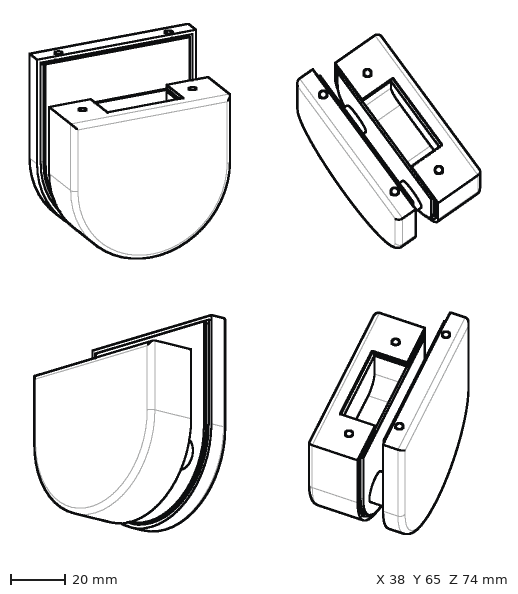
import cadquery as cq


WIDTH = 65.0
PLATE_HEIGHT = 74.0
BOX_HEIGHT = 59.0

PLATE_DEPTH = 8.0
PAD_THICKNESS = 1.0
GLASS_GAP = 8.0
BOX_DEPTH = 20.0
PLATE_MOUTH = PLATE_DEPTH
BOX_MOUTH = PLATE_MOUTH + PAD_THICKNESS + GLASS_GAP + PAD_THICKNESS
TOTAL_DEPTH = BOX_MOUTH + BOX_DEPTH

COVER_WALL = 1.5
PLATE_INNER_FACE = COVER_WALL
BOX_INNER_FACE = TOTAL_DEPTH - COVER_WALL
EDGE_RADIUS = 2.0

CORE_INSET = 2.6
PAD_SIDE_INSET = 3.0
PAD_END_INSET = 2.0
BOSS_RADIUS = 6.0
BOSS_SPACING = 35.0
BOSS_Z = 24.0

POCKET_WIDTH = 31.0
POCKET_DEPTH_X = 13.0
POCKET_BOTTOM_DROP = 20.0
POCKET_CORNER_RADIUS = 6.0
OPENING_DEPTH_X = 14.0

SCREW_DIAMETER = 2.6
SCREW_HOLE_DIAMETER = 3.0
SCREW_SPACING = 45.0
PLATE_SCREW_X = 5.55
BOX_SCREW_X = 25.5
SCREW_YS = (-SCREW_SPACING / 2, SCREW_SPACING / 2)


def d_prism(x_start, x_end, height, side_inset, end_inset):
    """Prism along X with a square top and a semicircular foot, inset from the overall outline."""
    half_width = WIDTH / 2 - side_inset
    foot = end_inset
    arc_z = foot + half_width
    top = height - end_inset
    return (
        cq.Workplane("YZ", origin=(x_start, 0, 0))
        .moveTo(-half_width, top)
        .lineTo(-half_width, arc_z)
        .threePointArc((0, foot), (half_width, arc_z))
        .lineTo(half_width, top)
        .close()
        .extrude(x_end - x_start)
    )


def screw_cylinder(x, y, height, diameter):
    """Upright cylinder from the top of the core up to the top of the cover."""
    return cq.Workplane("XY", origin=(x, y, height - CORE_INSET)).circle(diameter / 2).extrude(CORE_INSET)


def cover(x_start, x_end, cavity_start, cavity_end, outer_face, height, screw_x):
    """Hollow cover, open on the glass side, rounded on its outer face, with two screw holes."""
    body = d_prism(x_start, x_end, height, 0, 0).faces(outer_face).edges().fillet(EDGE_RADIUS)
    body = body.cut(d_prism(cavity_start, cavity_end, height, COVER_WALL, COVER_WALL))
    for y in SCREW_YS:
        body = body.cut(screw_cylinder(screw_x, y, height, SCREW_HOLE_DIAMETER))
    return body


def set_screw(x, y, height):
    """Screw flush with the cover, loose in its hole and resting on the core."""
    return screw_cylinder(x, y, height, SCREW_DIAMETER)


def inner_body(core_start, core_end, pad_start, height):
    """Core that fits in a cover with clearance, and the pad that faces the glass."""
    core = d_prism(core_start, core_end, height, CORE_INSET, CORE_INSET)
    pad = d_prism(pad_start, pad_start + PAD_THICKNESS, height, PAD_SIDE_INSET, PAD_END_INSET)
    return core.union(pad)


plate_cover = cover(0, PLATE_MOUTH, PLATE_INNER_FACE, PLATE_MOUTH, "<X", PLATE_HEIGHT, PLATE_SCREW_X)
plate_core = inner_body(PLATE_INNER_FACE, PLATE_MOUTH, PLATE_MOUTH, PLATE_HEIGHT)

box_cover = cover(BOX_MOUTH, TOTAL_DEPTH, BOX_MOUTH, BOX_INNER_FACE, ">X", BOX_HEIGHT, BOX_SCREW_X)
top_opening = cq.Workplane("XY", origin=(BOX_MOUTH, 0, BOX_HEIGHT - COVER_WALL)).box(
    OPENING_DEPTH_X, POCKET_WIDTH, COVER_WALL, centered=(False, True, False)
)
box_cover = box_cover.cut(top_opening)

box_core = inner_body(BOX_MOUTH, BOX_INNER_FACE, BOX_MOUTH - PAD_THICKNESS, BOX_HEIGHT)
bolt_pocket = (
    cq.Workplane("XY", origin=(BOX_MOUTH, 0, BOX_HEIGHT - POCKET_BOTTOM_DROP))
    .box(POCKET_DEPTH_X, POCKET_WIDTH, POCKET_BOTTOM_DROP, centered=(False, True, False))
    .edges("|X and <Z")
    .fillet(POCKET_CORNER_RADIUS)
)
bosses = (
    cq.Workplane("YZ", origin=(PLATE_MOUTH + PAD_THICKNESS, 0, BOSS_Z))
    .pushPoints([(-BOSS_SPACING / 2, 0), (BOSS_SPACING / 2, 0)])
    .circle(BOSS_RADIUS)
    .extrude(GLASS_GAP)
)
box_core = box_core.cut(bolt_pocket).union(bosses)

set_screws = []
for screw_x, height in ((PLATE_SCREW_X, PLATE_HEIGHT), (BOX_SCREW_X, BOX_HEIGHT)):
    for y in SCREW_YS:
        set_screws.append(set_screw(screw_x, y, height).val())

result = cq.Compound.makeCompound(
    [plate_cover.val(), plate_core.val(), box_cover.val(), box_core.val(), *set_screws]
)